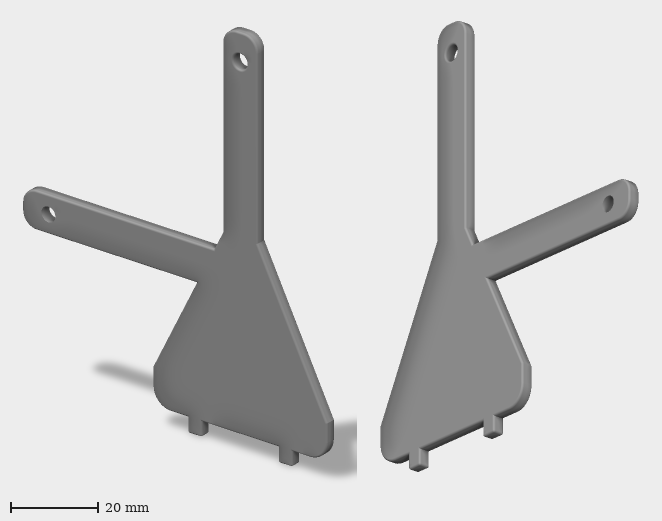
import cadquery as cq

thickness = 3.0
edge_radius = 0.5

body_width = 50.0
body_side_height = 10.0
body_corner_radius = 5.0
shoulder_height = 50.0

limb_width = 10.0
limb_end_radius = 4.0
post_top = 102.5
arm_end = -62.5
arm_bottom = 35.0
arm_top = arm_bottom + limb_width

hole_diameter = 4.0
hole_end_distance = 7.5

tab_width = 4.0
tab_length = 4.0
tab_spacing = 26.0
tab_overlap = 1.0


def extrude_profile(sketch):
    """Extrude an XZ outline symmetrically about Y = 0."""
    return sketch.extrude(thickness / 2, both=True)


def block(x_min, x_max, z_min, z_max):
    """Full-thickness rectangular block given by its X and Z limits."""
    size_x = x_max - x_min
    size_z = z_max - z_min
    outline = cq.Workplane("XZ").center(x_min + size_x / 2, z_min + size_z / 2).rect(size_x, size_z)
    return extrude_profile(outline)


def make_body():
    half_body = body_width / 2
    half_limb = limb_width / 2
    outline = cq.Workplane("XZ").polyline([
        (-half_body, 0),
        (half_body, 0),
        (half_body, body_side_height),
        (half_limb, shoulder_height),
        (-half_limb, shoulder_height),
        (-half_body, body_side_height),
    ]).close()
    return extrude_profile(outline).edges("|Y and <Z").fillet(body_corner_radius)


def make_post():
    post = block(-limb_width / 2, limb_width / 2, 0, post_top)
    return post.edges("|Y and >Z").fillet(limb_end_radius)


def make_arm():
    arm = block(arm_end, 0, arm_bottom, arm_top)
    return arm.edges("|Y and <X").fillet(limb_end_radius)


def make_tab(center_x):
    return block(center_x - tab_width / 2, center_x + tab_width / 2, -tab_length, tab_overlap)


def make_hole(center_x, center_z):
    """Through-hole cutter along Y."""
    return extrude_profile(cq.Workplane("XZ").center(center_x, center_z).circle(hole_diameter / 2))


def make_plate():
    plate = make_body().union(make_post()).union(make_arm())
    for side in (-1, 1):
        plate = plate.union(make_tab(side * tab_spacing / 2))
    return plate.clean()


def round_edges(plate):
    """Round the rims of both faces and the end corners of the tabs."""
    face_rims = plate.faces("<Y or >Y").edges()
    tab_ends = plate.faces("<Z").edges("|Y")
    return face_rims.add(tab_ends).fillet(edge_radius)


post_hole = make_hole(0, post_top - hole_end_distance)
arm_hole = make_hole(arm_end + hole_end_distance, (arm_bottom + arm_top) / 2)
result = round_edges(make_plate().cut(post_hole)).cut(arm_hole)